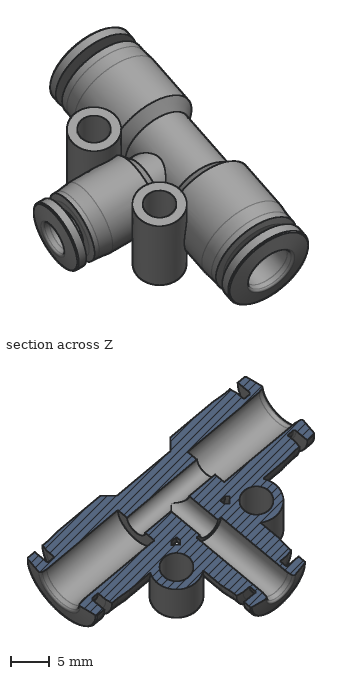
import cadquery as cq
import math


passage_radius = 1.62
mouth_round = 0.32
mouth_taper_depth = 1.0
mouth_taper = 0.12
collar_crown = 0.4
collar_rim_chamfer = 0.15
body_face_rise = 0.2
body_face_width = 0.97

run_end = 20.3
run_collar_back = 18.45
run_body_end = 17.25
run_nose_start = 16.05
run_taper_start = 14.1
run_shoulder = 6.37
run_body_radius = 6.5
run_nose_radius = 6.35
run_collar_radius = 6.35
run_neck_radius = 3.98
run_tube_radius = 3.3
run_core_radius = 5.0
run_neck_fillet = 0.25

branch_end = 19.9
branch_collar_back = 18.15
branch_body_end = 17.05
branch_nose_start = 16.15
branch_taper_start = 14.2
branch_shoulder = 6.85
branch_body_radius = 5.25
branch_nose_radius = 5.0
branch_collar_radius = 5.0
branch_neck_radius = 2.8
branch_tube_radius = 2.2
branch_core_radius = 4.0

sleeve_x = 7.25
sleeve_y = -8.25
sleeve_radius = 3.5
sleeve_hole_radius = 2.15
sleeve_height = 2 * run_body_radius


def revolve_about_x(profile):
    """Full revolution of a closed XY profile about the X axis."""
    return profile.revolve(360, (0, 0, 0), (1, 0, 0))


def arc_inset(radius):
    """Distance from each tangent line of a quarter arc to the middle of the arc."""
    return radius * (1 - math.sqrt(0.5))


def port_solid(
    end, collar_back, body_end, nose_start, taper_start, shoulder,
    body_radius, nose_radius, collar_radius, neck_radius, mouth_radius, core_radius,
):
    """Solid port along +X from the origin: core, 45 degree shoulder, body, neck and collar."""
    core_station = shoulder - (body_radius - core_radius)
    rim_station = end - collar_crown
    profile = (
        cq.Workplane("XY")
        .lineTo(0, core_radius)
        .lineTo(core_station, core_radius)
        .lineTo(shoulder, body_radius)
        .lineTo(taper_start, body_radius)
        .lineTo(nose_start, nose_radius)
        .lineTo(body_end - body_face_rise, nose_radius)
        .lineTo(body_end, nose_radius - body_face_width)
        .lineTo(body_end, neck_radius)
        .lineTo(collar_back, neck_radius)
        .lineTo(collar_back, collar_radius)
        .lineTo(rim_station - collar_rim_chamfer, collar_radius)
        .lineTo(rim_station, collar_radius - collar_rim_chamfer)
        .lineTo(end, mouth_radius)
        .lineTo(end, 0)
        .close()
    )
    return revolve_about_x(profile)


def port_bore(end, shoulder, tube_radius, mouth_radius):
    """Cutter along +X: passage, tube socket ending at the shoulder, and rounded mouth."""
    lip_radius = mouth_radius - mouth_round
    inset = arc_inset(mouth_round)
    profile = (
        cq.Workplane("XY")
        .lineTo(0, passage_radius)
        .lineTo(shoulder, passage_radius)
        .lineTo(shoulder, tube_radius)
        .lineTo(end - mouth_taper_depth, tube_radius)
        .lineTo(end - mouth_round, lip_radius)
        .threePointArc((end - inset, lip_radius + inset), (end, mouth_radius))
        .lineTo(end, 0)
        .close()
    )
    return revolve_about_x(profile)


def neck_fillet(collar_back, neck_radius, radius):
    """Ring that rounds the corner between the neck and the back of the collar."""
    inset = arc_inset(radius)
    profile = (
        cq.Workplane("XY")
        .moveTo(collar_back - radius, neck_radius)
        .threePointArc(
            (collar_back - inset, neck_radius + inset),
            (collar_back, neck_radius + radius),
        )
        .lineTo(collar_back, neck_radius)
        .close()
    )
    return revolve_about_x(profile)


def turn(shape, angle):
    """Turn a port shape from +X about the vertical axis."""
    return shape.rotate((0, 0, 0), (0, 0, 1), angle)


run_mouth_radius = run_tube_radius + mouth_taper + mouth_round
branch_mouth_radius = branch_tube_radius + mouth_taper + mouth_round

run_solid = port_solid(
    run_end, run_collar_back, run_body_end, run_nose_start, run_taper_start, run_shoulder,
    run_body_radius, run_nose_radius, run_collar_radius, run_neck_radius,
    run_mouth_radius, run_core_radius,
).union(neck_fillet(run_collar_back, run_neck_radius, run_neck_fillet))
branch_solid = port_solid(
    branch_end, branch_collar_back, branch_body_end, branch_nose_start, branch_taper_start,
    branch_shoulder, branch_body_radius, branch_nose_radius, branch_collar_radius,
    branch_neck_radius, branch_mouth_radius, branch_core_radius,
)
run_bore = port_bore(run_end, run_shoulder, run_tube_radius, run_mouth_radius)
branch_bore = port_bore(branch_end, branch_shoulder, branch_tube_radius, branch_mouth_radius)

sleeve_centers = [(-sleeve_x, sleeve_y), (sleeve_x, sleeve_y)]
sleeve_plane = cq.Workplane("XY").workplane(offset=-sleeve_height / 2).pushPoints(sleeve_centers)
sleeves = sleeve_plane.circle(sleeve_radius).extrude(sleeve_height)
sleeve_holes = sleeve_plane.circle(sleeve_hole_radius).extrude(sleeve_height)

result = run_solid.union(turn(run_solid, 180)).union(turn(branch_solid, -90)).union(sleeves)
for bore in (run_bore, turn(run_bore, 180), turn(branch_bore, -90), sleeve_holes):
    result = result.cut(bore)